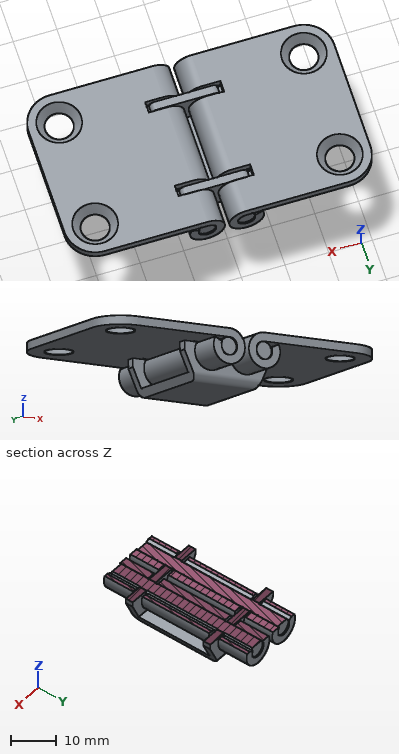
import cadquery as cq
import math


length = 70.0
width = 40.0
knuckle_diameter = 8.0
pin_diameter = 4.0
knuckle_gap = 1.0
corner_radius = 7.0
roll_end_angle = 155.0

pin_end_recess = 0.35

hole_diameter = 6.4
countersink_diameter = 10.0
countersink_angle = 90.0

link_width = 23.65
link_thickness = 1.95
link_bottom_z = -10.5
link_bend_radius = 1.95
link_half_length = 11.0
link_bottom_half_length = 8.0
link_taper_start_z = -4.0
tab_top_z = -0.7
tab_half_length = 7.85

slot_half_length = 8.6
slot_inner_y = 9.4
slot_outer_y = 12.05

knuckle_radius = knuckle_diameter / 2
pin_radius = pin_diameter / 2
leaf_thickness = knuckle_radius - pin_radius
axis_x = knuckle_gap / 2 + knuckle_radius
axis_z = -knuckle_radius
hole_x = length / 2 - corner_radius
hole_y = width / 2 - corner_radius
shoulder_z = -leaf_thickness
tab_round_radius = tab_top_z - shoulder_z


def cylinder_along_y(radius, cylinder_length, x, z):
    """Cylinder centred on Y = 0 with its axis at (x, z)."""
    return (
        cq.Workplane("XZ")
        .center(x, z)
        .circle(radius)
        .extrude(cylinder_length / 2, both=True)
    )


def around_axis(radius, angle):
    """XZ point at an angle around the +X pin axis, measured upward from the inward direction."""
    turn = math.radians(angle)
    return (axis_x - radius * math.cos(turn), axis_z + radius * math.sin(turn))


def rolled_plate():
    """Flat plate of the +X leaf, with its inner edge rolled under around the pin axis."""
    roll_start_angle = 90
    roll_middle_angle = (roll_start_angle + roll_end_angle - 360) / 2
    return (
        cq.Workplane("XZ")
        .moveTo(length / 2, 0)
        .lineTo(axis_x, 0)
        .threePointArc(around_axis(knuckle_radius, roll_middle_angle),
                       around_axis(knuckle_radius, roll_end_angle))
        .lineTo(*around_axis(pin_radius, roll_end_angle))
        .threePointArc(around_axis(pin_radius, roll_middle_angle),
                       (axis_x, -leaf_thickness))
        .lineTo(length / 2, -leaf_thickness)
        .close()
        .extrude(width / 2, both=True)
        .edges("|Z and >X")
        .fillet(corner_radius)
    )


def link_slot(side):
    """Cutter for one slot, running out through the rolled edge."""
    slot_width = slot_outer_y - slot_inner_y
    slot_y = side * (slot_inner_y + slot_outer_y) / 2
    return (
        cq.Workplane("XY")
        .center(0, slot_y)
        .rect(2 * slot_half_length, slot_width)
        .extrude(-knuckle_diameter)
    )


def make_right_leaf():
    """Leaf on the +X side, with its two countersunk holes and two link slots."""
    leaf = (
        rolled_plate()
        .faces(">Z")
        .workplane(origin=(0, 0, 0))
        .pushPoints([(hole_x, -hole_y), (hole_x, hole_y)])
        .cskHole(hole_diameter, countersink_diameter, countersink_angle)
    )
    for side in (-1, 1):
        leaf = leaf.cut(link_slot(side))
    return leaf


def make_pin(side):
    """Pin on the -X (side = -1) or +X (side = 1) knuckle axis."""
    return cylinder_along_y(pin_radius, width - 2 * pin_end_recess, side * axis_x, axis_z)


def link_side_block():
    """Block with the link profile in XZ: rounded tab, shoulders and tapered bottom, at full width."""
    tab_flat_half = tab_half_length - tab_round_radius
    return (
        cq.Workplane("XZ")
        .moveTo(-tab_flat_half, tab_top_z)
        .lineTo(tab_flat_half, tab_top_z)
        .radiusArc((tab_half_length, shoulder_z), tab_round_radius)
        .lineTo(link_half_length, shoulder_z)
        .lineTo(link_half_length, link_taper_start_z)
        .lineTo(link_bottom_half_length, link_bottom_z)
        .lineTo(-link_bottom_half_length, link_bottom_z)
        .lineTo(-link_half_length, link_taper_start_z)
        .lineTo(-link_half_length, shoulder_z)
        .lineTo(-tab_half_length, shoulder_z)
        .radiusArc((-tab_flat_half, tab_top_z), tab_round_radius)
        .close()
        .extrude(link_width / 2, both=True)
    )


def make_link():
    """U-shaped link: the outer bends are rounded and the inside is cut square."""
    inner_width = link_width - 2 * link_thickness
    floor_z = link_bottom_z + link_thickness
    channel = (
        cq.Workplane("XY", origin=(0, 0, floor_z))
        .rect(2 * link_half_length, inner_width)
        .extrude(-floor_z)
    )
    envelope = (
        cq.Workplane("XY", origin=(0, 0, link_bottom_z))
        .rect(2 * link_half_length, link_width)
        .extrude(-link_bottom_z)
        .edges("|X and <Z")
        .fillet(link_bend_radius)
    )
    link = link_side_block().intersect(envelope).cut(channel)
    for side in (-1, 1):
        link = link.cut(cylinder_along_y(pin_radius, width, side * axis_x, axis_z))
    return link


right_leaf = make_right_leaf()
left_leaf = right_leaf.mirror("YZ")
link = make_link()
pins = [make_pin(side) for side in (-1, 1)]

result = cq.Compound.makeCompound([
    left_leaf.val(),
    right_leaf.val(),
    link.val(),
    *[pin.val() for pin in pins],
])